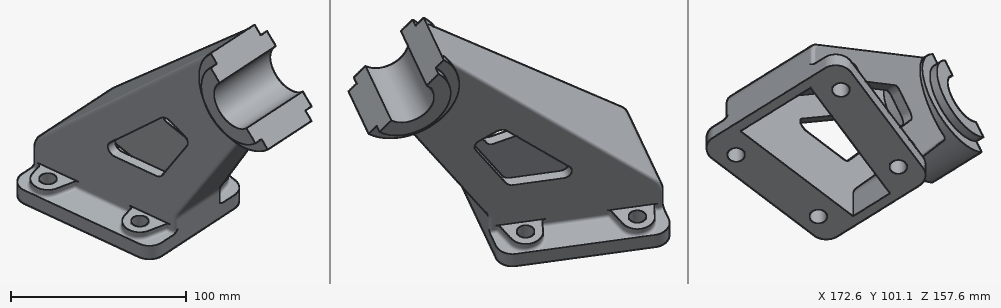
import cadquery as cq
import math

plate_length = 100.1
plate_thickness = 10.0
plate_front_half_width = 52.0
plate_back_half_width = 38.3
plate_corner_radius = 10.0

pad_centers = [(18.0, 38.0), (82.0, 29.0)]
pad_top = 15.0
pad_radius = 10.0
pad_side_angle = math.radians(15)
pad_reach = 11.2
bolt_diameter = 10.0
edge_radius = 2.0

ring_x = 150.0
ring_z = 135.0
ring_radius = 32.0
ring_width = 35.9
hub_radius = 25.0
hub_width = 46.1
bore_radius = 15.0

arm_front_half_width = 32.3
arm_wall = 6.0
arm_back_corner_height = 22.0
arm_front_angle = math.radians(45)
arm_back_angle = math.radians(60)
arm_front_bend_radius = 15.0
arm_back_bend_radius = 10.0

window_bottom = 46.0
window_wall = 21.2
window_top_corner_z = 92.9
window_corner_radius = 5.0

tangent_offset = ring_radius * math.sqrt(0.5)
front_line_height = ring_z - ring_x + 2 * tangent_offset
plan_taper = (plate_front_half_width - plate_back_half_width) / plate_length
back_slope = math.tan(arm_back_angle)

match_tolerance = 0.02


def prism_along_y(points, width):
    """Prism with an XZ outline, centred on Y = 0."""
    return cq.Workplane("XZ").polyline(points).close().extrude(width / 2, both=True)


def cylinder_along_y(radius, width):
    """Cylinder on the ring axis, centred on Y = 0."""
    return cq.Workplane("XZ").center(ring_x, ring_z).circle(radius).extrude(width / 2, both=True)


def trapezoid(front_half_width, length, height):
    """Upright prism tapering in plan at the common side angle."""
    back_half_width = front_half_width - plan_taper * length
    points = [
        (0, -front_half_width),
        (length, -back_half_width),
        (length, back_half_width),
        (0, front_half_width),
    ]
    return cq.Workplane("XY").polyline(points).close().extrude(height)


def arm_block(inset):
    """Solid arm shape with every outer face moved inward by inset."""
    front_x = inset
    front_z = front_line_height - inset * math.tan(arm_front_angle / 2)
    back_x = plate_length - inset
    back_z = arm_back_corner_height + inset * math.tan((math.pi / 2 - arm_back_angle) / 2)

    inside_z = ring_z - (bore_radius + ring_radius) / 2
    inside_x = back_x + (inside_z - back_z) / back_slope
    tangent_shift = tangent_offset - inset * math.sqrt(0.5)
    profile = [
        (front_x, 0),
        (front_x, front_z),
        (ring_x - tangent_shift, ring_z + tangent_shift),
        (ring_x, ring_z),
        (inside_x, inside_z),
        (back_x, back_z),
        (back_x, 0),
    ]
    block = prism_along_y(profile, 2 * arm_front_half_width)
    front_bend = cq.selectors.NearestToPointSelector((front_x, 0, front_z))
    block = block.edges(front_bend).fillet(arm_front_bend_radius - inset)
    back_bend = cq.selectors.NearestToPointSelector((back_x, 0, back_z))
    block = block.edges(back_bend).fillet(arm_back_bend_radius + inset)
    side_inset = inset / math.cos(math.atan(plan_taper))
    return block.intersect(trapezoid(arm_front_half_width - side_inset, ring_x, ring_z + ring_radius))


def make_arm():
    """Outer arm shape with its long side edges rounded."""
    def is_outer_edge(edge):
        center = edge.Center()
        from_ring = math.hypot(center.x - ring_x, center.z - ring_z)
        return center.z > edge_radius and from_ring > ring_radius

    return arm_block(0).edges("not |Y").filter(is_outer_edge).fillet(edge_radius)


def make_cavity():
    """Hollow of the arm, open through the plate and closed by the ring."""
    return arm_block(arm_wall).cut(cylinder_along_y(ring_radius, hub_width))


def make_pad(x, y, side):
    """Round-nosed pad whose flanks spread toward the arm; side is +1 or -1."""
    flank_x = pad_radius * math.cos(pad_side_angle)
    flank_y = pad_radius * math.sin(pad_side_angle)
    root_x = flank_x + (flank_y + pad_reach) * math.tan(pad_side_angle)
    return (
        cq.Workplane("XY")
        .moveTo(x - root_x, side * (y - pad_reach))
        .lineTo(x - flank_x, side * (y + flank_y))
        .threePointArc((x, side * (y + pad_radius)), (x + flank_x, side * (y + flank_y)))
        .lineTo(x + root_x, side * (y - pad_reach))
        .close()
        .extrude(pad_top)
    )


def make_base(arm):
    """Arm and pads blended onto the plate, then trimmed to the plate outline."""
    margin = 4 * edge_radius
    blank_length = plate_length + 2 * margin
    blank_width = 2 * (plate_front_half_width + margin)

    def blank(height):
        return cq.Workplane("XY").box(
            blank_length, blank_width, height, centered=(False, True, False)
        ).translate((-margin, 0, 0))

    def is_foot_edge(edge):
        """Edge where the arm or a pad meets the plate, not the rim of the blank."""
        box = edge.BoundingBox()
        inside_x = -margin / 2 < edge.Center().x < plate_length + margin / 2
        inside_y = abs(edge.Center().y) < plate_front_half_width
        height_error = max(abs(box.zmin - plate_thickness), abs(box.zmax - plate_thickness))
        at_plate_top = height_error < match_tolerance
        return inside_x and inside_y and at_plate_top

    def is_pad_root(edge):
        """Upright inner corner where a pad flank meets the arm."""
        box = edge.BoundingBox()
        ends_at_pad_top = abs(box.zmax - pad_top) < match_tolerance
        starts_on_plate = box.zmin > plate_thickness - match_tolerance
        nearest_pad = min(pad_centers, key=lambda pad: abs(pad[0] - box.xmin))
        return ends_at_pad_top and starts_on_plate and abs(box.ymin) < nearest_pad[1]

    base = blank(plate_thickness).union(arm)
    for x, y in pad_centers:
        for side in (1, -1):
            base = base.union(make_pad(x, y, side))
    base = base.edges("|Z").filter(is_pad_root).fillet(edge_radius)
    base = base.edges().filter(is_foot_edge).fillet(edge_radius)

    plate = trapezoid(plate_front_half_width, plate_length, pad_top)
    plate = plate.edges("|Z").fillet(plate_corner_radius)
    return base.cut(blank(pad_top).cut(plate))


def make_ring():
    """Ring with a wider hub, halved by the joint plane; the bore is cut last."""
    ring = cylinder_along_y(ring_radius, ring_width).union(cylinder_along_y(hub_radius, hub_width))
    reach = 2 * ring_radius
    removed_half = [
        (ring_x - reach, ring_z + reach),
        (ring_x + reach, ring_z + reach),
        (ring_x + reach, ring_z - reach),
    ]
    return ring.cut(prism_along_y(removed_half, 2 * hub_width))


def make_window():
    """Opening with walls parallel to the arm faces and a square upper end."""
    front_height = front_line_height - window_wall * math.sqrt(2)
    back_x = plate_length - window_wall / math.sin(arm_back_angle)
    back_height = arm_back_corner_height - back_slope * back_x

    top_front_x = window_top_corner_z - front_height
    end_slope = -1 / back_slope
    end_height = window_top_corner_z - end_slope * top_front_x
    top_back_x = (end_height - back_height) / (back_slope - end_slope)
    points = [
        (window_bottom - front_height, window_bottom),
        (top_front_x, window_top_corner_z),
        (top_back_x, back_slope * top_back_x + back_height),
        ((window_bottom - back_height) / back_slope, window_bottom),
    ]
    window = prism_along_y(points, 2 * arm_front_half_width)
    return window.edges("|Y").fillet(window_corner_radius)


result = make_base(make_arm()).cut(make_cavity()).union(make_ring())
result = result.cut(cylinder_along_y(bore_radius, hub_width)).cut(make_window())
for hole_x, hole_y in pad_centers:
    holes = cq.Workplane("XY").pushPoints([(hole_x, hole_y), (hole_x, -hole_y)])
    result = result.cut(holes.circle(bolt_diameter / 2).extrude(pad_top))